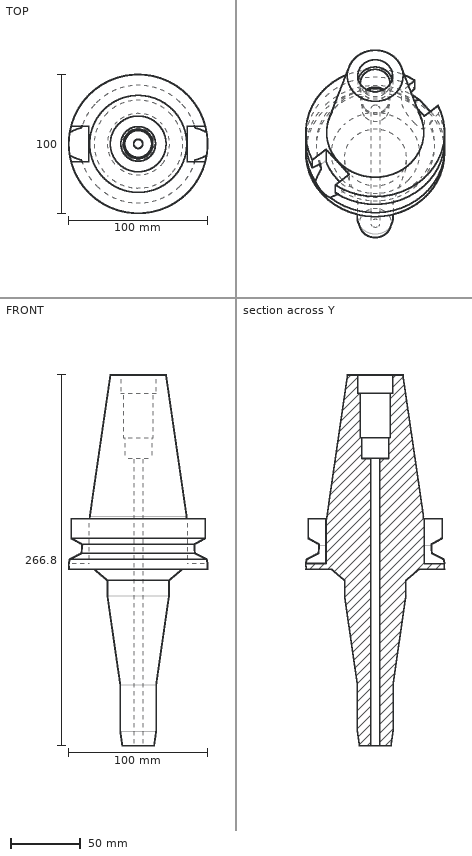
import cadquery as cq
import math

TAPER_LENGTH = 101.8
GAUGE_DIAMETER = 69.85
TAPER_RATIO = 7 / 24
PROJECTION = 165.0

FLANGE_DIAMETER = 100.0
FLANGE_TOP_Z = -1.5
FLANGE_BOTTOM_Z = -38.0
GROOVE_CENTRE_Z = -23.25
GROOVE_FLOOR_DIAMETER = 85.0
GROOVE_FLOOR_WIDTH = 6.4
GROOVE_FLANK_ANGLE = 30.0

SLOT_WIDTH = 25.7
SLOT_FLOOR_FROM_AXIS = 35.4
SLOT_BOTTOM_Z = -33.7

COLLAR_DIAMETER = 44.5
COLLAR_TOP_Z = -46.0
COLLAR_BOTTOM_Z = -57.0
SHOULDER_DIAMETER = 63.5
NECK_DIAMETER = 26.0
NECK_TOP_Z = -121.0
NECK_BOTTOM_Z = -154.5
NOSE_END_DIAMETER = 23.0

PILOT_DIAMETER = 25.0
PILOT_DEPTH = 13.0
THREAD_BORE_DIAMETER = 21.2
THREAD_BORE_DEPTH = 45.0
RELIEF_DIAMETER = 19.3
RELIEF_DEPTH = 60.0
THROUGH_DIAMETER = 6.4

taper_end_diameter = GAUGE_DIAMETER - TAPER_RATIO * TAPER_LENGTH
flange_radius = FLANGE_DIAMETER / 2
groove_floor_radius = GROOVE_FLOOR_DIAMETER / 2
groove_flank_rise = (flange_radius - groove_floor_radius) * math.tan(math.radians(GROOVE_FLANK_ANGLE))
groove_floor_half = GROOVE_FLOOR_WIDTH / 2
groove_mouth_half = groove_floor_half + groove_flank_rise
collar_radius = COLLAR_DIAMETER / 2


def revolve_profile(points):
    """Revolve a closed (radius, z) outline a full turn about the Z axis."""
    return cq.Workplane("XZ").polyline(points).close().revolve(360, (0, 0), (0, 1))


def make_body():
    """Taper, grooved flange and stepped shank turned in one piece."""
    return revolve_profile([
        (0, TAPER_LENGTH),
        (taper_end_diameter / 2, TAPER_LENGTH),
        (GAUGE_DIAMETER / 2, 0),
        (GAUGE_DIAMETER / 2, FLANGE_TOP_Z),
        (flange_radius, FLANGE_TOP_Z),
        (flange_radius, GROOVE_CENTRE_Z + groove_mouth_half),
        (groove_floor_radius, GROOVE_CENTRE_Z + groove_floor_half),
        (groove_floor_radius, GROOVE_CENTRE_Z - groove_floor_half),
        (flange_radius, GROOVE_CENTRE_Z - groove_mouth_half),
        (flange_radius, FLANGE_BOTTOM_Z),
        (SHOULDER_DIAMETER / 2, FLANGE_BOTTOM_Z),
        (collar_radius, COLLAR_TOP_Z),
        (collar_radius, COLLAR_BOTTOM_Z),
        (NECK_DIAMETER / 2, NECK_TOP_Z),
        (NECK_DIAMETER / 2, NECK_BOTTOM_Z),
        (NOSE_END_DIAMETER / 2, -PROJECTION),
        (0, -PROJECTION),
    ])


def make_bore():
    """Bore narrowing in steps from the taper end to a hole through the nose."""
    steps = [
        (PILOT_DIAMETER, TAPER_LENGTH - PILOT_DEPTH),
        (THREAD_BORE_DIAMETER, TAPER_LENGTH - THREAD_BORE_DEPTH),
        (RELIEF_DIAMETER, TAPER_LENGTH - RELIEF_DEPTH),
        (THROUGH_DIAMETER, -PROJECTION),
    ]
    points = [(0, TAPER_LENGTH)]
    start_z = TAPER_LENGTH
    for diameter, floor_z in steps:
        points.append((diameter / 2, start_z))
        points.append((diameter / 2, floor_z))
        start_z = floor_z
    points.append((0, -PROJECTION))
    return revolve_profile(points)


def make_drive_slot(side):
    """Round-bottomed slot on the +X (side = 1) or -X (side = -1) edge of the flange."""
    half_width = SLOT_WIDTH / 2
    arc_centre_z = SLOT_BOTTOM_Z + half_width
    return (
        cq.Workplane("YZ", origin=(side * SLOT_FLOOR_FROM_AXIS, 0, 0))
        .moveTo(-half_width, FLANGE_TOP_Z)
        .lineTo(-half_width, arc_centre_z)
        .threePointArc((0, SLOT_BOTTOM_Z), (half_width, arc_centre_z))
        .lineTo(half_width, FLANGE_TOP_Z)
        .close()
        .extrude(side * flange_radius)
    )


result = make_body().cut(make_bore())
for side in (1, -1):
    result = result.cut(make_drive_slot(side))